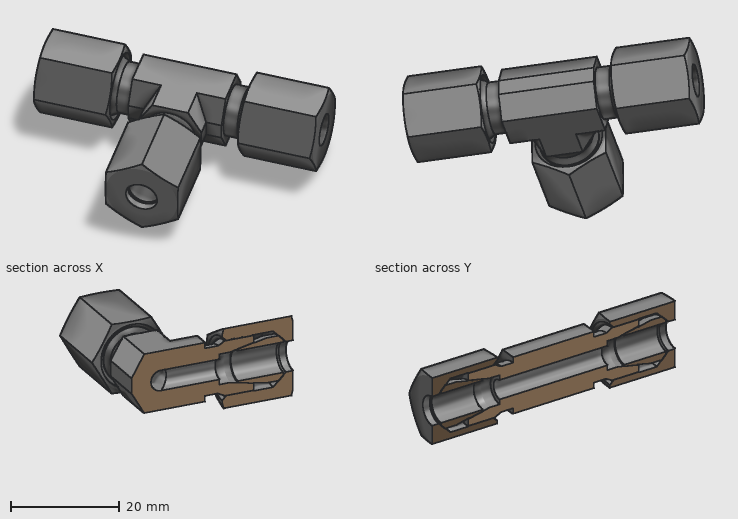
import cadquery as cq
import math


tube_radius = 3.0
bore_radius = 2.0
tube_stop = 12.0

block_reach = 9.0
block_half_height = 6.0
block_half_width = 6.05
block_top_half_width = block_half_height / math.sqrt(3)
block_side_half_height = 1.55

neck_radius = 4.85
neck_end = 11.65
thread_radius = 5.6
neck_cone_angle = 30
spigot_end = 19.0
seat_mouth_radius = 4.05
seat_angle = 12

nut_end = 27.0
nut_length = 14.5
nut_across_flats = 14.0
nut_corner_radius = nut_across_flats / math.sqrt(3)
nut_face_radius = 6.9
nut_chamfer_angle = 15
nut_collar = 1.5
nut_mouth_chamfer = 0.75

ring_gap = 0.5
ring_radius = 4.6
ring_tip_radius = 3.35

arm_placements = [(0, 0), (180, 0), (-90, 90)]

nut_start = nut_end - nut_length
collar_start = nut_end - nut_collar
ring_back = collar_start - ring_gap
thread_start = neck_end + (thread_radius - neck_radius) / math.tan(math.radians(neck_cone_angle))


def seat_position(radius):
    """Place along the arm where the conical seat has the given radius."""
    return spigot_end + (radius - seat_mouth_radius) / math.tan(math.radians(seat_angle))


def turned(points):
    """Solid of revolution about X from (distance along X, radius) points."""
    return cq.Workplane("XY").polyline(points).close().revolve(360, (0, 0, 0), (1, 0, 0))


def placed(arm, turn, spin=0):
    """Spin an arm about its own axis, then turn it about Z."""
    return arm.rotate((0, 0, 0), (1, 0, 0), spin).rotate((0, 0, 0), (0, 0, 1), turn)


def block_arm():
    """Octagonal bar from the tee centre to one end face."""
    quarter = [
        (block_half_width, block_side_half_height),
        (block_top_half_width, block_half_height),
    ]
    top = quarter + [(-y, z) for y, z in reversed(quarter)]
    bottom = [(-y, -z) for y, z in top]
    return cq.Workplane("YZ").polyline(top + bottom).close().extrude(block_reach)


def spigot():
    """Neck and thread, starting inside the block."""
    return turned([
        (0, 0),
        (0, neck_radius),
        (neck_end, neck_radius),
        (thread_start, thread_radius),
        (spigot_end, thread_radius),
        (spigot_end, 0),
    ])


def spigot_cavity():
    """Bore, tube socket and conical seat of one arm."""
    return turned([
        (0, 0),
        (0, bore_radius),
        (tube_stop, bore_radius),
        (tube_stop, tube_radius),
        (seat_position(tube_radius), tube_radius),
        (spigot_end, seat_mouth_radius),
        (spigot_end, 0),
    ])


def make_tee_body():
    solids = cq.Workplane("XY")
    cavities = cq.Workplane("XY")
    for turn, _ in arm_placements:
        solids = solids.add(placed(block_arm().union(spigot()), turn))
        cavities = cavities.add(placed(spigot_cavity(), turn))
    return solids.combine(clean=True).cut(cavities.combine())


def make_nut():
    hexagon = (
        cq.Workplane("YZ", origin=(nut_start, 0, 0))
        .polygon(6, 2 * nut_corner_radius)
        .extrude(nut_length)
    )
    chamfer_depth = (nut_corner_radius - nut_face_radius) * math.tan(math.radians(nut_chamfer_angle))
    chamfered_round = turned([
        (nut_start, 0),
        (nut_start, nut_face_radius),
        (nut_start + chamfer_depth, nut_corner_radius),
        (nut_end - chamfer_depth, nut_corner_radius),
        (nut_end, nut_face_radius),
        (nut_end, 0),
    ])
    cavity = turned([
        (nut_start, 0),
        (nut_start, thread_radius + nut_mouth_chamfer),
        (nut_start + nut_mouth_chamfer, thread_radius),
        (collar_start - (thread_radius - tube_radius), thread_radius),
        (collar_start, tube_radius),
        (nut_end, tube_radius),
        (nut_end, 0),
    ])
    return hexagon.intersect(chamfered_round).cut(cavity)


def make_cutting_ring():
    return turned([
        (seat_position(ring_tip_radius), tube_radius),
        (seat_position(ring_tip_radius), ring_tip_radius),
        (seat_position(ring_radius), ring_radius),
        (collar_start - (ring_radius - tube_radius), ring_radius),
        (ring_back, tube_radius + ring_gap),
        (ring_back, tube_radius),
    ])


tee_body = make_tee_body()
nuts = [placed(make_nut(), turn, spin) for turn, spin in arm_placements]
cutting_rings = [placed(make_cutting_ring(), turn, spin) for turn, spin in arm_placements]

result = cq.Compound.makeCompound(
    [tee_body.val()] + [nut.val() for nut in nuts] + [ring.val() for ring in cutting_rings]
)